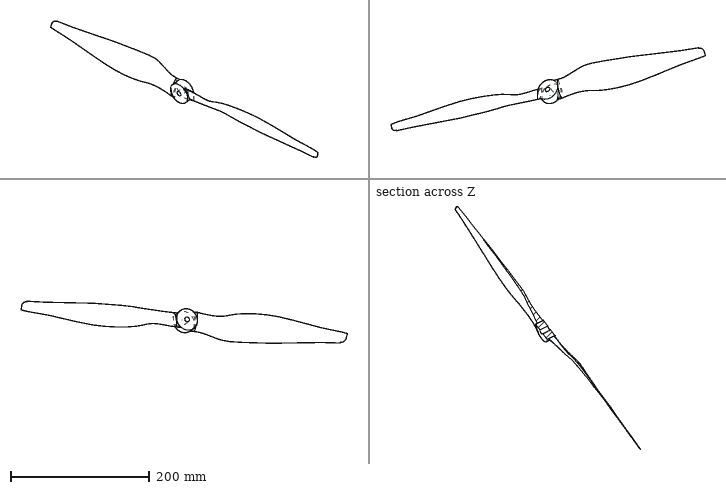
import cadquery as cq

TIP_RADIUS = 254.0
BLADE_ANGLES = (0, 180)

HUB_RADIUS = 16.5
HUB_FRONT_Y = -12.0
HUB_BACK_Y = 1.5
BORE_RADIUS = 3.5

FRONT_SHARE = 0.5

ROOT_SECTION = (HUB_RADIUS, 13.0, -12.5, -10.5, 1.5, 9.0)
SHOULDER_SECTION = (66.0, 15.0, -17.5, -8.0, 12.0, 3.5)
SHANK_SECTIONS = [
    ROOT_SECTION,
    (35.5, 11.5, -13.5, -9.0, 4.5, 5.5),
    (51.0, 11.5, -16.0, -9.0, 9.0, 4.0),
    SHOULDER_SECTION,
]
OUTER_SECTIONS = [
    SHOULDER_SECTION,
    (81.5, 19.5, -18.0, -7.5, 11.5, 3.5),
    (101.5, 22.5, -17.0, -7.0, 10.0, 3.0),
    (132.0, 24.0, -14.5, -5.5, 8.0, 2.5),
    (183.0, 19.5, -9.0, -3.0, 5.0, 2.0),
    (218.5, 15.0, -5.0, -1.5, 3.0, 1.5),
    (TIP_RADIUS, 12.0, -1.5, -0.5, 1.0, 1.0),
]

TIP_ARC_START = (244.0, -2.0)
TIP_ARC_MIDDLE = (250.0, 0.5)
TIP_ARC_END = (252.5, 5.5)
TIP_CORNER = (TIP_RADIUS, 12.0)
TRIM_MARGIN = 10.0
TRIM_DEPTH = 20.5


def section_wire(x, upper_z, lower_z, upper_y, lower_y, thickness):
    """Lens-shaped section in a plane normal to X, bounded by two arcs."""
    upper = cq.Vector(x, upper_y, upper_z)
    lower = cq.Vector(x, lower_y, lower_z)
    middle = (upper + lower) * 0.5
    back = (lower - upper).cross(cq.Vector(-1, 0, 0)).normalized()
    front_point = middle - back * (thickness * FRONT_SHARE)
    back_point = middle + back * (thickness * (1 - FRONT_SHARE))
    return cq.Wire.assembleEdges([
        cq.Edge.makeThreePointArc(upper, front_point, lower),
        cq.Edge.makeThreePointArc(lower, back_point, upper),
    ])


def loft(sections):
    return cq.Workplane(cq.Solid.makeLoft([section_wire(*section) for section in sections]))


def tip_trim():
    """Waste material outside the rounded tip outline."""
    outside_x = TIP_RADIUS + TRIM_MARGIN
    below_z = TIP_ARC_START[1] - TRIM_MARGIN
    above_z = TIP_CORNER[1] + TRIM_MARGIN
    return (
        cq.Workplane("XZ")
        .moveTo(*TIP_ARC_START)
        .threePointArc(TIP_ARC_MIDDLE, TIP_ARC_END)
        .lineTo(*TIP_CORNER)
        .lineTo(TIP_CORNER[0], above_z)
        .lineTo(outside_x, above_z)
        .lineTo(outside_x, below_z)
        .lineTo(TIP_ARC_START[0], below_z)
        .close()
        .extrude(TRIM_DEPTH / 2, both=True)
    )


def turned(body, angle):
    """Copy of a body turned about the hub axis."""
    return body.rotate((0, 0, 0), (0, 1, 0), angle)


def make_blade(angle):
    blade = loft(SHANK_SECTIONS).union(loft(OUTER_SECTIONS)).cut(tip_trim())
    return turned(blade, angle)


def hub_cylinder(radius):
    """Cylinder about the hub axis, as deep as the hub."""
    return cq.Workplane("XZ", origin=(0, HUB_BACK_Y, 0)).circle(radius).extrude(HUB_BACK_Y - HUB_FRONT_Y)


def make_hub():
    """Bored disc with two stubs that carry the blade root section, cut flush with its faces."""
    stub = cq.Workplane(
        cq.Solid.extrudeLinear(section_wire(*ROOT_SECTION), [], cq.Vector(-HUB_RADIUS, 0, 0))
    ).intersect(hub_cylinder(2 * HUB_RADIUS))
    hub = hub_cylinder(HUB_RADIUS)
    for angle in BLADE_ANGLES:
        hub = hub.union(turned(stub, angle))
    return hub.cut(hub_cylinder(BORE_RADIUS))


hub = make_hub()
blades = [make_blade(angle) for angle in BLADE_ANGLES]
result = cq.Compound.makeCompound([
    *hub.solids().vals(),
    *[solid for blade in blades for solid in blade.solids().vals()],
])